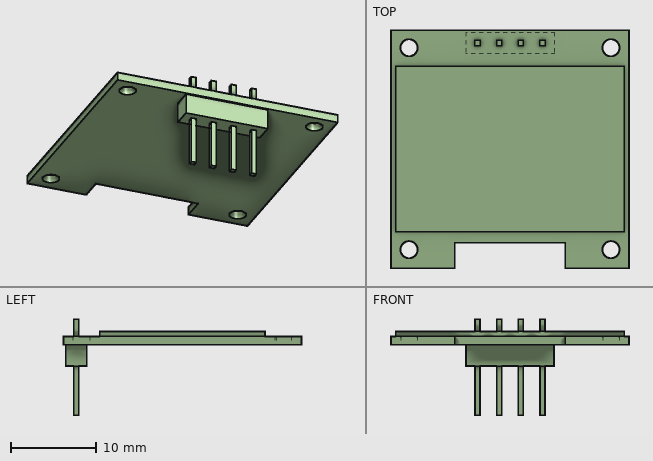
import cadquery as cq

board_side = 28.0
board_thickness = 1.0
notch_width = 13.0
notch_depth = 3.0
hole_diameter = 2.0
hole_pitch = 23.75
hole_center_y = 0.05

glass_width = 26.88
glass_length = 19.45
glass_thickness = 0.55
glass_center_y = 0.03

pin_count = 4
pin_pitch = 2.55
pin_side = 0.62
pin_length = 11.3
pin_top = 2.02
header_edge_gap = 0.25
header_width = 10.4
header_depth = 2.5
header_height = 2.5
header_y = board_side / 2 - header_edge_gap - header_depth / 2


def make_board():
    """Square board with four mounting holes and a notch in the -Y edge."""
    board = cq.Workplane("XY").box(
        board_side, board_side, board_thickness, centered=(True, True, False)
    )
    notch = cq.Workplane("XY").center(0, (notch_depth - board_side) / 2).rect(notch_width, notch_depth)
    holes = (
        cq.Workplane("XY")
        .center(0, hole_center_y)
        .rect(hole_pitch, hole_pitch, forConstruction=True)
        .vertices()
        .circle(hole_diameter / 2)
    )
    board = board.cut(notch.extrude(board_thickness)).cut(holes.extrude(board_thickness))
    return board.translate((0, 0, -board_thickness))


def make_glass():
    """Flat display panel standing on the board."""
    return cq.Workplane("XY").center(0, glass_center_y).rect(glass_width, glass_length).extrude(glass_thickness)


def make_header():
    """Header block under the board with a row of square pins through it."""
    header = (
        cq.Workplane("XY", origin=(0, header_y, -board_thickness))
        .rect(header_width, header_depth)
        .extrude(-header_height)
    )
    pins = (
        cq.Workplane("XY", origin=(0, header_y, pin_top))
        .rarray(pin_pitch, 0.28, pin_count, 1)
        .rect(pin_side, pin_side)
        .extrude(-pin_length)
    )
    return header.union(pins)


result = make_board().union(make_glass()).union(make_header())